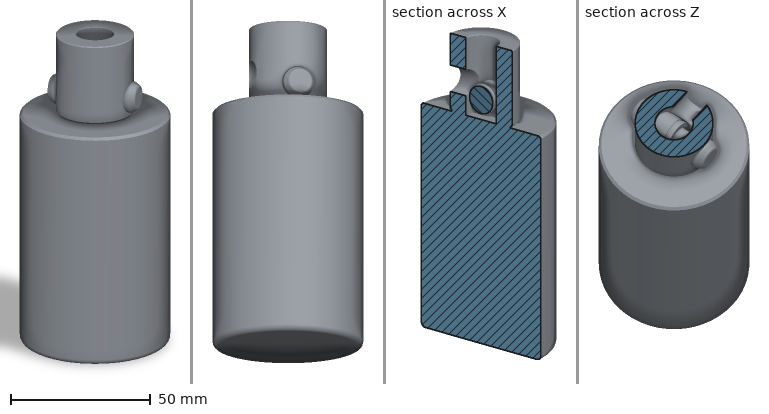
import cadquery as cq
import math

body_diameter = 54.0
total_height = 116.9
neck_length = 30.0
neck_diameter = 28.0
body_height = total_height - neck_length
body_top_chamfer = 0.9
body_bottom_fillet = 2.0
neck_top_chamfer = 0.4

relief_height = 0.4
relief_depth = 0.7

bore_diameter = 13.6
bore_edge_chamfer = 0.2
bore_depth = neck_length

detent_diameter = 10.0
detent_height = total_height - 17.5

button_diameter = 11.3
button_height = total_height - 22.6
button_reach = 16.6
button_tip_diameter = 8.7
button_taper_length = 2.2
button_taper_fillet = 0.9
cross_hole_edge_chamfer = 0.4

left_inner_end = 1.6
groove_start = -0.7
groove_width = 1.0
groove_depth = 0.4

right_shoulder = 5.4
right_shoulder_chamfer = 0.6
stem_diameter = 7.2


def cylinder_along_x(diameter, start, end):
    """Cylinder on the button axis between two X positions."""
    return (
        cq.Workplane("YZ", origin=(start, 0, button_height))
        .circle(diameter / 2)
        .extrude(end - start)
    )


def make_housing():
    body = cq.Workplane("XY").circle(body_diameter / 2).extrude(body_height)
    body = body.faces(">Z").edges().chamfer(body_top_chamfer)
    body = body.faces("<Z").edges().fillet(body_bottom_fillet)

    relief = (
        cq.Workplane("XY", origin=(0, 0, body_height))
        .circle(neck_diameter / 2 - relief_depth)
        .extrude(relief_height)
    )
    neck = (
        cq.Workplane("XY", origin=(0, 0, body_height + relief_height))
        .circle(neck_diameter / 2)
        .extrude(neck_length - relief_height)
        .faces(">Z")
        .edges()
        .chamfer(neck_top_chamfer)
        .faces("<Z")
        .edges()
        .chamfer(relief_depth)
    )
    housing = body.union(relief).union(neck)

    bore = (
        cq.Workplane("XY", origin=(0, 0, total_height - bore_depth))
        .circle(bore_diameter / 2)
        .extrude(bore_depth)
    )
    housing = housing.cut(bore)
    bore_rim = housing.faces(">Z").edges(cq.selectors.RadiusNthSelector(0))
    housing = bore_rim.chamfer(bore_edge_chamfer)

    detent = (
        cq.Workplane("XZ", origin=(0, 0, detent_height))
        .circle(detent_diameter / 2)
        .extrude(-neck_diameter)
    )
    cross_hole = cylinder_along_x(button_diameter, -neck_diameter, neck_diameter)
    housing = housing.cut(detent).cut(cross_hole)

    mouth_half_width = button_diameter / 2 + cross_hole_edge_chamfer
    for outer_x in (-neck_diameter, neck_diameter):
        mouth = cq.selectors.BoxSelector(
            (outer_x, -mouth_half_width, button_height - mouth_half_width),
            (math.copysign(bore_diameter / 2, outer_x), mouth_half_width, button_height + mouth_half_width),
            boundingbox=True,
        )
        housing = housing.edges(mouth).chamfer(cross_hole_edge_chamfer)
    return housing


def round_button_tip(button, outer_face):
    """Taper the outer end of a button and round both ends of the taper."""
    taper_depth = (button_diameter - button_tip_diameter) / 2
    taper_angle = math.degrees(math.atan2(taper_depth, button_taper_length))
    tapered = button.faces(outer_face).workplane(offset=-button_taper_length)
    tip = (
        tapered.circle(button_diameter / 2)
        .extrude(button_taper_length, taper=taper_angle, combine=False)
    )
    blank = tapered.circle(button_diameter).extrude(button_taper_length, combine=False)
    button = button.cut(blank).union(tip)
    return button.faces("%CONE").edges().fillet(button_taper_fillet)


def make_left_button():
    button = cylinder_along_x(button_diameter, -button_reach, left_inner_end)
    button = round_button_tip(button, "<X")
    groove_end = groove_start + groove_width
    groove_core_diameter = button_diameter - 2 * groove_depth
    groove = cylinder_along_x(button_diameter, groove_start, groove_end).cut(
        cylinder_along_x(groove_core_diameter, groove_start, groove_end)
    )
    return button.cut(groove)


def make_right_button():
    button = cylinder_along_x(button_diameter, right_shoulder, button_reach)
    button = round_button_tip(button, ">X")
    button = button.faces("<X").edges().chamfer(right_shoulder_chamfer)
    return button.union(cylinder_along_x(stem_diameter, left_inner_end, right_shoulder))


housing = make_housing()
left_button = make_left_button()
right_button = make_right_button()

result = cq.Compound.makeCompound([housing.val(), left_button.val(), right_button.val()])